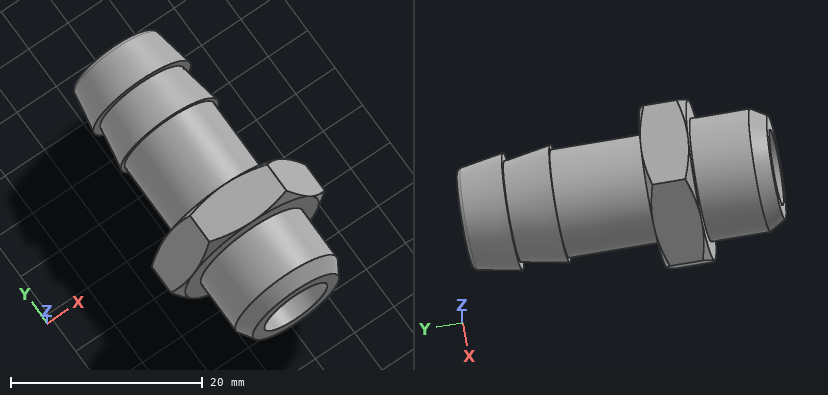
import cadquery as cq
import math

length = 33.0
bore_radius = 4.0

thread_radius = 6.55
thread_tip_radius = 5.5
thread_chamfer_length = 1.7

hex_sides = 6
hex_start = 8.0
hex_end = 13.0
across_flats = 17.0
hex_chamfer_angle = 30.0

stem_radius = 5.75
barb_radius = 6.25
barb_length = 5.0
barb_taper = 10.0
tip_fillet = 0.5

barb_small_radius = barb_radius - barb_length * math.tan(math.radians(barb_taper))
tip_barb_start = length - barb_length
stem_end = tip_barb_start - barb_length
across_corners = across_flats / math.cos(math.radians(180 / hex_sides))


def revolve_about_y(points):
    """Revolve an outline of (radius, Y) points about the Y axis."""
    return cq.Workplane("XY").polyline(points).close().revolve(360, (0, 0, 0), (0, 1, 0))


def make_turned_body():
    body = revolve_about_y([
        (0, 0),
        (thread_tip_radius, 0),
        (thread_radius, thread_chamfer_length),
        (thread_radius, hex_start),
        (stem_radius, hex_start),
        (stem_radius, stem_end),
        (barb_radius, stem_end),
        (barb_small_radius, tip_barb_start),
        (barb_radius, tip_barb_start),
        (barb_small_radius, length),
        (0, length),
    ])
    return body.faces(">Y").edges().fillet(tip_fillet)


def make_hex_collar():
    prism = (
        cq.Workplane("XZ", origin=(0, hex_start, 0))
        .polygon(hex_sides, across_corners)
        .extrude(hex_start - hex_end)
    )
    flat_radius = across_flats / 2
    corner_radius = across_corners / 2
    bevel = (corner_radius - flat_radius) * math.tan(math.radians(hex_chamfer_angle))
    envelope = revolve_about_y([
        (0, hex_start),
        (flat_radius, hex_start),
        (corner_radius, hex_start + bevel),
        (corner_radius, hex_end - bevel),
        (flat_radius, hex_end),
        (0, hex_end),
    ])
    return prism.intersect(envelope)


bore = cq.Workplane("XZ").circle(bore_radius).extrude(-length)

result = make_turned_body().union(make_hex_collar()).cut(bore)